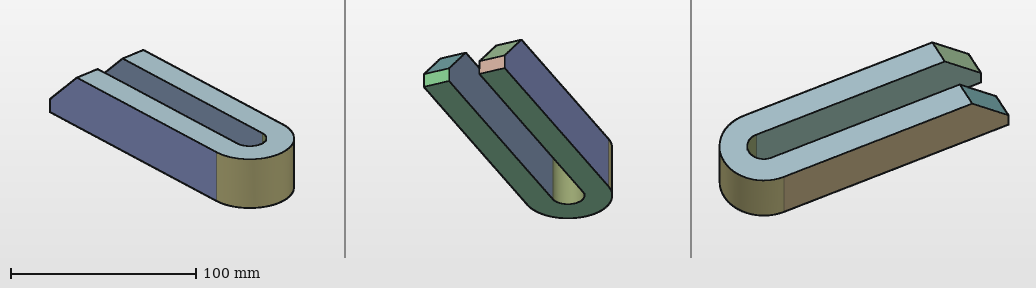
import cadquery as cq

length = 160.0
width = 48.0
height = 30.0
slot_width = 18.0
tip_height = 8.0

outer_radius = width / 2
slot_radius = slot_width / 2
bend_x = length - outer_radius
bevel_size = height - tip_height


def round_ended_bar(end_radius):
    """Full-height bar from X = 0, closed by a half round about the bend axis."""
    return (
        cq.Workplane("XY")
        .moveTo(0, -end_radius)
        .lineTo(bend_x, -end_radius)
        .threePointArc((bend_x + end_radius, 0), (bend_x, end_radius))
        .lineTo(0, end_radius)
        .close()
        .extrude(height)
    )


def tip_bevel():
    """Wedge removed from the upper edge of both leg tips."""
    return (
        cq.Workplane("XZ")
        .moveTo(0, tip_height)
        .lineTo(bevel_size, height)
        .lineTo(0, height)
        .close()
        .extrude(outer_radius, both=True)
    )


body = round_ended_bar(outer_radius)
slot = round_ended_bar(slot_radius)
result = body.cut(slot).cut(tip_bevel())